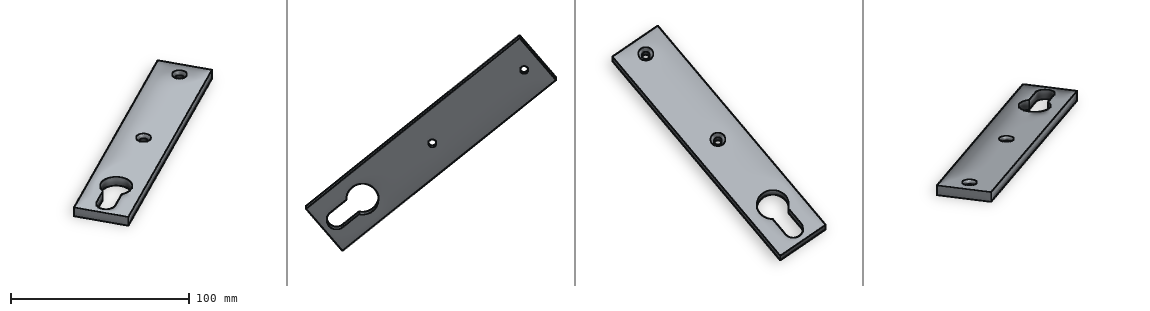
import cadquery as cq

plate_width = 32.0
plate_length = 156.0
plate_thickness = 6.0

screw_diameter = 4.5
countersink_diameter = 8.4
countersink_angle = 90.0
top_screw_edge_distance = 10.0
screw_spacing = 67.0
top_screw_y = plate_length / 2 - top_screw_edge_distance
screw_positions = [(0, top_screw_y), (0, top_screw_y - screw_spacing)]

barrel_diameter = 18.0
slot_width = 11.0
barrel_screw_distance = 51.0
cutout_height = 33.5
barrel_y = top_screw_y - screw_spacing - barrel_screw_distance
slot_end_y = barrel_y + barrel_diameter / 2 - cutout_height
slot_arc_y = slot_end_y + slot_width / 2


def make_plate():
    return cq.Workplane("XY").box(
        plate_width, plate_length, plate_thickness, centered=(True, True, False)
    )


def drill_screw_holes(body):
    return (
        body.faces(">Z")
        .workplane(origin=(0, 0, plate_thickness))
        .pushPoints(screw_positions)
        .cskHole(screw_diameter, countersink_diameter, countersink_angle)
    )


def make_cylinder_cutout():
    barrel = (
        cq.Workplane("XY")
        .center(0, barrel_y)
        .circle(barrel_diameter / 2)
        .extrude(plate_thickness)
    )
    slot = (
        cq.Workplane("XY")
        .moveTo(-slot_width / 2, barrel_y)
        .lineTo(-slot_width / 2, slot_arc_y)
        .threePointArc((0, slot_end_y), (slot_width / 2, slot_arc_y))
        .lineTo(slot_width / 2, barrel_y)
        .close()
        .extrude(plate_thickness)
    )
    return barrel.union(slot)


result = drill_screw_holes(make_plate()).cut(make_cylinder_cutout())